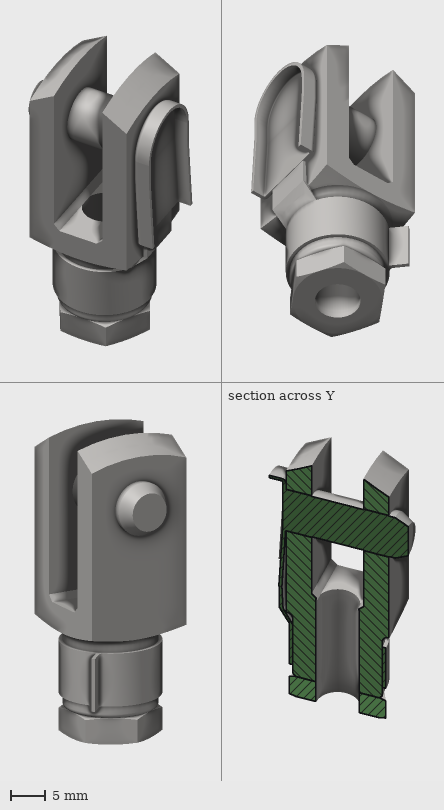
import cadquery as cq
import math

TOTAL_HEIGHT = 46.0
BORE_DIAMETER = 6.62

NUT_HEIGHT = 4.0
NUT_FLATS = 13.0
NUT_CHAMFER_DROP = 0.28

FORK_WIDTH = 16.0
SLOT_WIDTH = 8.0
SLOT_FLOOR_Z = 20.1
SLOT_CHAMFER = 0.9
NECK_DIAMETER = 14.0
NECK_BOTTOM_ROUND = 0.7
SHOULDER_Z = 16.05
SHOULDER_CORNER_RISE = 0.95
SHOULDER_FILLET = 0.9
TIP_RADIUS = 27.15
TIP_SLOPE = 30.0

PIN_DIAMETER = 8.0
PIN_Z = 36.0
PIN_END_X = -11.0
PIN_TAPER_LENGTH = 2.05
PIN_TIP_DIAMETER = 5.75

SHEET = 0.55
CLIP_WIDTH = 12.0
CLIP_DEPTH = 2.6
CLIP_BEND_RADIUS = 0.75
TILT_START_Z = 32.5
CHANNEL_END_Z = 20.85
CHANNEL_SHIFT = 0.6
STRIP_WIDTH = 7.35
STRIP_THICKNESS = 0.45
STRIP_BEND_Z = 16.65
STRIP_BEND_INNER_X = 8.4
STRIP_FOOT_HALF_ANGLE = 29.0
BAND_BOTTOM_Z = 6.05
BAND_HEIGHT = 8.0
TAB_ANGLE = 135.0
TAB_END_RADIUS = 10.45
TAB_BEND_RADIUS = 0.55

HALF_FORK = FORK_WIDTH / 2
NECK_RADIUS = NECK_DIAMETER / 2
PIN_RADIUS = PIN_DIAMETER / 2
BAND_RADIUS = NECK_RADIUS + SHEET
BAND_TOP_Z = BAND_BOTTOM_Z + BAND_HEIGHT


def cylinder_z(diameter, bottom, top):
    return cq.Workplane("XY").workplane(offset=bottom).circle(diameter / 2).extrude(top - bottom)


def make_nut():
    corner_radius = NUT_FLATS / math.sqrt(3)
    flat_radius = NUT_FLATS / 2
    hexagon = cq.Workplane("XY").polygon(6, 2 * corner_radius).extrude(NUT_HEIGHT)
    blank = (
        cq.Workplane("XZ")
        .moveTo(0, 0)
        .lineTo(flat_radius, 0)
        .lineTo(corner_radius, NUT_CHAMFER_DROP)
        .lineTo(corner_radius, NUT_HEIGHT - NUT_CHAMFER_DROP)
        .lineTo(flat_radius, NUT_HEIGHT)
        .lineTo(0, NUT_HEIGHT)
        .close()
        .revolve(360, (0, 0, 0), (0, 1, 0))
    )
    return hexagon.intersect(blank).cut(cylinder_z(BORE_DIAMETER, 0, NUT_HEIGHT))


def turned_fork_envelope():
    """Neck, concave shoulder fillet and conical underside, turned about Z."""
    corner_radius = HALF_FORK * math.sqrt(2)
    fillet_end = NECK_RADIUS + SHOULDER_FILLET
    fillet_diagonal = SHOULDER_FILLET * math.sqrt(0.5)
    return (
        cq.Workplane("XZ")
        .moveTo(0, NUT_HEIGHT)
        .lineTo(NECK_RADIUS - NECK_BOTTOM_ROUND, NUT_HEIGHT)
        .radiusArc((NECK_RADIUS, NUT_HEIGHT + NECK_BOTTOM_ROUND), -NECK_BOTTOM_ROUND)
        .lineTo(NECK_RADIUS, SHOULDER_Z - SHOULDER_FILLET)
        .threePointArc(
            (fillet_end - fillet_diagonal, SHOULDER_Z - SHOULDER_FILLET + fillet_diagonal),
            (fillet_end, SHOULDER_Z),
        )
        .lineTo(HALF_FORK, SHOULDER_Z)
        .lineTo(corner_radius, SHOULDER_Z + SHOULDER_CORNER_RISE)
        .lineTo(corner_radius, TOTAL_HEIGHT)
        .lineTo(0, TOTAL_HEIGHT)
        .close()
        .revolve(360, (0, 0, 0), (0, 1, 0))
    )


def tip_envelope():
    """Double cone about an axis parallel to X that shapes the ends of both fork arms."""
    axis_z = TOTAL_HEIGHT - TIP_RADIUS
    half_slot = SLOT_WIDTH / 2
    outer_z = TOTAL_HEIGHT - (HALF_FORK - half_slot) * math.tan(math.radians(TIP_SLOPE))
    return (
        cq.Workplane("XZ")
        .moveTo(-HALF_FORK, axis_z)
        .lineTo(-HALF_FORK, outer_z)
        .lineTo(-half_slot, TOTAL_HEIGHT)
        .lineTo(half_slot, TOTAL_HEIGHT)
        .lineTo(HALF_FORK, outer_z)
        .lineTo(HALF_FORK, axis_z)
        .close()
        .revolve(360, (0, axis_z, 0), (1, axis_z, 0))
    )


def fork_slot():
    slot_height = TOTAL_HEIGHT - SLOT_FLOOR_Z
    return (
        cq.Workplane("XY")
        .workplane(offset=SLOT_FLOOR_Z)
        .rect(SLOT_WIDTH, FORK_WIDTH)
        .extrude(slot_height)
        .faces("<Z")
        .edges("|Y")
        .chamfer(SLOT_CHAMFER)
    )


def make_fork():
    blank = cq.Workplane("XY").rect(FORK_WIDTH, FORK_WIDTH).extrude(TOTAL_HEIGHT)
    pin_hole = (
        cq.Workplane("YZ").workplane(offset=-HALF_FORK).center(0, PIN_Z).circle(PIN_RADIUS).extrude(FORK_WIDTH)
    )
    return (
        blank.intersect(turned_fork_envelope())
        .intersect(tip_envelope())
        .cut(fork_slot())
        .cut(pin_hole)
        .cut(cylinder_z(BORE_DIAMETER, NUT_HEIGHT, SLOT_FLOOR_Z))
    )


def pin_shaft():
    return (
        cq.Workplane("XZ")
        .moveTo(PIN_END_X, PIN_Z)
        .lineTo(PIN_END_X, PIN_Z + PIN_TIP_DIAMETER / 2)
        .lineTo(PIN_END_X + PIN_TAPER_LENGTH, PIN_Z + PIN_RADIUS)
        .lineTo(HALF_FORK + SHEET, PIN_Z + PIN_RADIUS)
        .lineTo(HALF_FORK + SHEET, PIN_Z)
        .close()
        .revolve(360, (0, PIN_Z, 0), (1, PIN_Z, 0))
    )


def half_channel_section(workplane, shift=0.0):
    """The +Y half of the U-shaped sheet section, open toward +X."""
    back = HALF_FORK + shift
    front = back + CLIP_DEPTH
    bend = back + CLIP_BEND_RADIUS
    half = CLIP_WIDTH / 2
    flat_half = half - CLIP_BEND_RADIUS
    return (
        workplane.moveTo(back, 0)
        .lineTo(back, flat_half)
        .radiusArc((bend, half), CLIP_BEND_RADIUS)
        .lineTo(front, half)
        .lineTo(front, half - SHEET)
        .lineTo(bend, half - SHEET)
        .radiusArc((back + SHEET, flat_half), -(CLIP_BEND_RADIUS - SHEET))
        .lineTo(back + SHEET, 0)
        .close()
    )


def clip_channel():
    """Rounded cup around the pin end, then a straight and a tilted channel below it."""
    at_pin = cq.Workplane("XY").workplane(offset=PIN_Z)
    cup = half_channel_section(at_pin).revolve(180, (0, 0, 0), (1, 0, 0))
    straight = half_channel_section(at_pin).extrude(TILT_START_Z - PIN_Z)
    upper_section = half_channel_section(cq.Workplane("XY").workplane(offset=TILT_START_Z))
    tilted = half_channel_section(
        upper_section.workplane(offset=CHANNEL_END_Z - TILT_START_Z), CHANNEL_SHIFT
    ).loft(ruled=True)
    half_legs = straight.union(tilted)
    return cup.union(half_legs).union(half_legs.mirror("XZ"))


def clip_strip():
    """Narrow spring strip that runs down from the channel and bends inward to the band."""
    channel_x = HALF_FORK + CHANNEL_SHIFT
    outer_x = channel_x + STRIP_THICKNESS
    half_width = STRIP_WIDTH / 2
    upper = (
        cq.Workplane("XZ")
        .moveTo(channel_x, CHANNEL_END_Z)
        .lineTo(STRIP_BEND_INNER_X, STRIP_BEND_Z)
        .lineTo(outer_x, STRIP_BEND_Z)
        .lineTo(outer_x, CHANNEL_END_Z)
        .close()
        .extrude(half_width, both=True)
    )
    foot_angle = math.radians(STRIP_FOOT_HALF_ANGLE)
    inner_x = NECK_RADIUS * math.cos(foot_angle)
    inner_y = NECK_RADIUS * math.sin(foot_angle)
    rim_x = BAND_RADIUS * math.cos(foot_angle)
    rim_y = BAND_RADIUS * math.sin(foot_angle)
    foot = (
        cq.Workplane("XY")
        .workplane(offset=BAND_TOP_Z)
        .moveTo(inner_x, -inner_y)
        .lineTo(rim_x, -rim_y)
        .threePointArc((BAND_RADIUS, 0), (rim_x, rim_y))
        .lineTo(inner_x, inner_y)
        .threePointArc((NECK_RADIUS, 0), (inner_x, -inner_y))
        .close()
        .workplane(offset=STRIP_BEND_Z - BAND_TOP_Z)
        .moveTo(STRIP_BEND_INNER_X, -half_width)
        .lineTo(outer_x, -half_width)
        .lineTo(outer_x, half_width)
        .lineTo(STRIP_BEND_INNER_X, half_width)
        .close()
        .loft(ruled=True)
    )
    return upper.union(foot)


def clip_band():
    """Ring around the neck with a flat grip tab standing off it radially."""
    neck = cylinder_z(NECK_DIAMETER, BAND_BOTTOM_Z, BAND_TOP_Z)
    ring = cylinder_z(2 * BAND_RADIUS, BAND_BOTTOM_Z, BAND_TOP_Z)
    tab = (
        cq.Workplane("XY")
        .workplane(offset=BAND_BOTTOM_Z)
        .center(TAB_END_RADIUS / 2, 0)
        .rect(TAB_END_RADIUS, SHEET)
        .extrude(BAND_HEIGHT)
    )
    bend_point = (BAND_RADIUS, SHEET / 2, BAND_BOTTOM_Z + BAND_HEIGHT / 2)
    band = ring.union(tab).edges(cq.selectors.NearestToPointSelector(bend_point)).fillet(TAB_BEND_RADIUS)
    return band.cut(neck).rotate((0, 0, 0), (0, 0, 1), TAB_ANGLE)


def make_clip_pin():
    return pin_shaft().union(clip_channel()).union(clip_strip()).union(clip_band())


nut = make_nut()
fork = make_fork()
clip_pin = make_clip_pin()

result = cq.Compound.makeCompound([nut.solids().val(), fork.solids().val(), clip_pin.solids().val()])